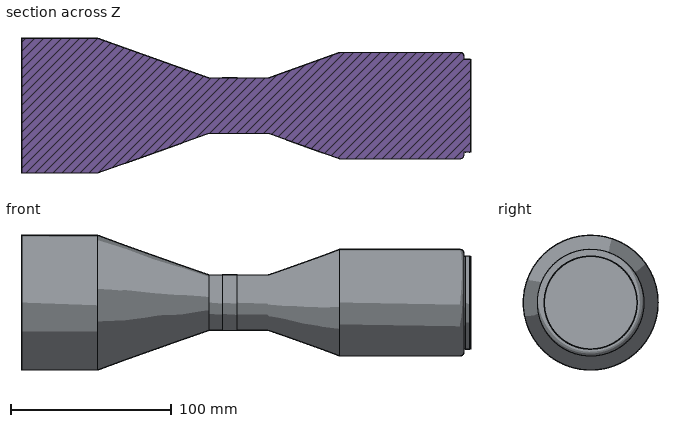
import cadquery as cq

length = 279.2
front_face = -length / 2
rear_face = length / 2
front_bell_length = 47.2
front_cone_length = 69.2
neck_length = 37.5
rear_cone_length = 43.8
rim_length = 4.2

front_radius = 42.02
neck_radius = 17.3
rear_radius = 33.2
rim_radius = 29.0

ring_offset = 8.5
ring_width = 9.0
ring_height = 0.15
collar_width = 0.8
collar_height = 0.15
rear_round = 2.5
rim_chamfer_length = 0.8
rim_chamfer_depth = 0.3

front_cone_start = front_face + front_bell_length
neck_start = front_cone_start + front_cone_length
ring_start = neck_start + ring_offset
ring_end = ring_start + ring_width
neck_end = neck_start + neck_length
rear_body_start = neck_end + rear_cone_length
rim_start = rear_face - rim_length

profile = (
    cq.Workplane("XY")
    .moveTo(front_face, 0)
    .lineTo(front_face, front_radius)
    .lineTo(front_cone_start, front_radius)
    .lineTo(neck_start, neck_radius)
    .lineTo(ring_start, neck_radius)
    .lineTo(ring_start, neck_radius + ring_height)
    .lineTo(ring_end, neck_radius + ring_height)
    .lineTo(ring_end, neck_radius)
    .lineTo(neck_end - collar_width, neck_radius)
    .lineTo(neck_end, neck_radius + collar_height)
    .lineTo(rear_body_start, rear_radius)
    .lineTo(rim_start - rear_round, rear_radius)
    .tangentArcPoint((rim_start, rear_radius - rear_round), relative=False)
    .lineTo(rim_start, rim_radius - rim_chamfer_depth)
    .lineTo(rim_start + rim_chamfer_length, rim_radius)
    .lineTo(rear_face - rim_chamfer_length, rim_radius)
    .lineTo(rear_face, rim_radius - rim_chamfer_depth)
    .lineTo(rear_face, 0)
    .close()
)

result = profile.revolve(360, (0, 0, 0), (1, 0, 0))